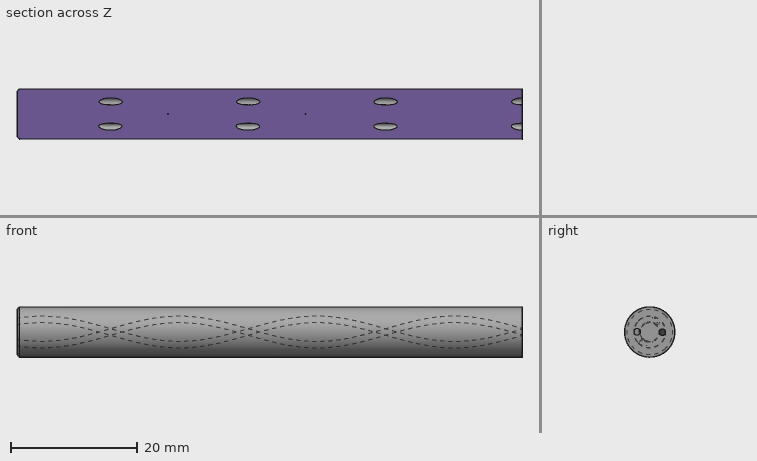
import cadquery as cq
import math

length = 80.0
diameter = 8.0
chamfer = 0.4

duct_diameter = 1.0
duct_circle_radius = 2.0
duct_start_angle = 57.5
duct_count = 2
helix_angle = 30.0

helix_lead = math.pi * diameter / math.tan(math.radians(helix_angle))
total_twist = 360.0 * length / helix_lead


def make_rod():
    """Cylinder centred on the origin, chamfered at its -X end."""
    rod = cq.Workplane("YZ").circle(diameter / 2).extrude(length / 2, both=True)
    return rod.faces("<X").edges().chamfer(chamfer)


def make_duct(start_angle):
    """Right-hand helical duct running through the full length."""
    angle = math.radians(start_angle)
    center_y = duct_circle_radius * math.cos(angle)
    center_z = duct_circle_radius * math.sin(angle)
    return (
        cq.Workplane("YZ", origin=(-length / 2, 0, 0))
        .center(center_y, center_z)
        .circle(duct_diameter / 2)
        .center(-center_y, -center_z)
        .twistExtrude(length, total_twist)
    )


result = make_rod()
for index in range(duct_count):
    result = result.cut(make_duct(duct_start_angle + index * 360.0 / duct_count))